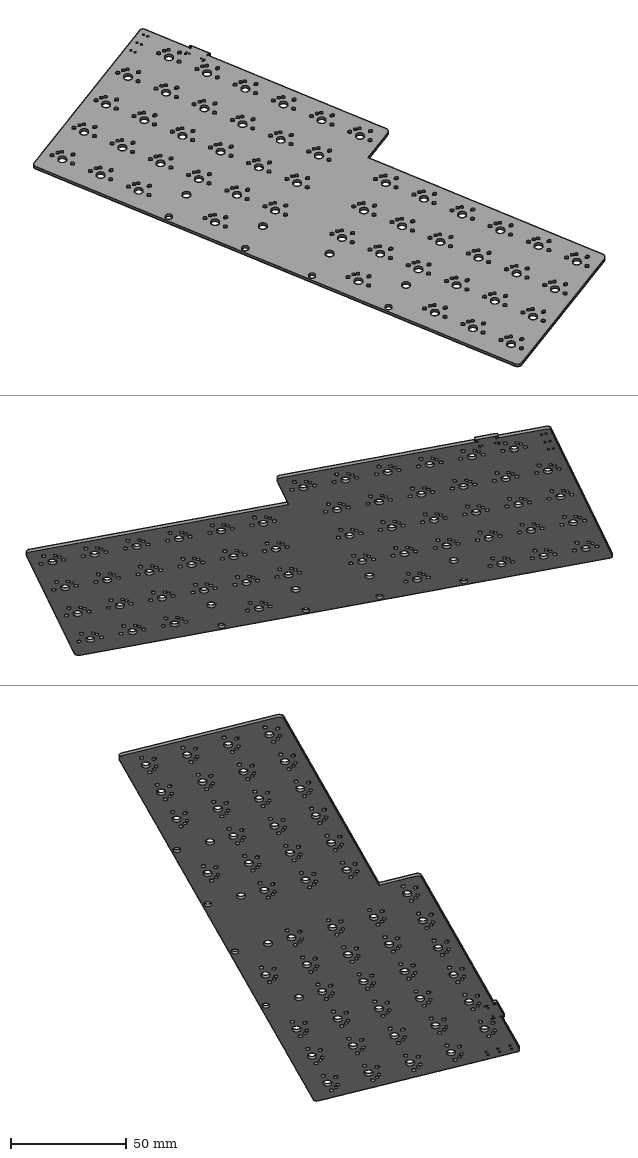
import cadquery as cq

board_width = 243.0
columns_wide = 12.75
rows_tall = 5
pitch = board_width / columns_wide
board_height = rows_tall * pitch
thickness = 1.6

raised_width = 6.5 * pitch
shoulder_height = 4 * pitch
left_corner_radius = 1.5
raised_corner_radius = 2.0
right_corner_radius = 2.2

tab_x = 1.5 * pitch
tab_reach = 1.5
tab_width = 10.5
tab_corner_radius = 0.7

grid = pitch / 15
stem_diameter = 4.0
peg_diameter = 1.75
pin_diameter = 1.48
peg_offset = 4 * grid
pin_places = [
    (-3 * grid, 2 * grid),
    (2 * grid, 4 * grid),
    (-2.5, 4.0),
    (2.5, 4.5),
]

stabilizer_reach = pitch
stabilizer_top_diameter = stem_diameter
stabilizer_top_offset = 8.3
stabilizer_bottom_diameter = 3.2
stabilizer_bottom_offset = 7.0

shell_slot_offset = 4.4
shell_slot_width = 0.6
front_slot_length = 1.2
front_slot_depth = -0.2
rear_slot_length = 1.7
rear_slot_depth = 3.6
locating_hole_offset = 3.0
locating_hole_depth = 3.2
locating_hole_diameter = 0.65

wire_hole_diameter = 0.9
wire_hole_inset = 2.7
wire_hole_spacing = 2.2
wire_hole_depths = [3.2, 8.7, 14.0]


def key_centers():
    """Centers of all key switches, and of the two wide keys among them."""
    left_columns = [i + 0.5 for i in range(6)]
    right_columns = [columns_wide - 0.5 - i for i in range(6)]
    wide_keys = [4.5, columns_wide - 4.5]
    bottom_row = left_columns[:3] + right_columns[:3] + wide_keys
    top_row = [i + 1 for i in range(6)]
    layout = [bottom_row] + 3 * [left_columns + right_columns] + [top_row]
    keys = [
        (column * pitch, (row + 0.5) * pitch)
        for row, columns in enumerate(layout)
        for column in columns
    ]
    wide = [(column * pitch, 0.5 * pitch) for column in wide_keys]
    return keys, wide


def shifted(centers, offsets):
    """Every offset placed at every center."""
    return [(x + dx, y + dy) for x, y in centers for dx, dy in offsets]


def drill(points, diameter):
    """Through holes at the given points."""
    return cq.Workplane("XY").pushPoints(points).circle(diameter / 2).extrude(thickness)


def slots(points, length, width):
    """Through slots along Y at the given points."""
    return cq.Workplane("XY").pushPoints(points).slot2D(length, width, 90).extrude(thickness)


def block(width, height):
    """Plate with one corner at the origin."""
    return cq.Workplane("XY").box(width, height, thickness, centered=False)


def make_board():
    """Stepped plate with rounded outer corners and the connector tab."""
    lower = block(board_width, shoulder_height)
    lower = lower.edges("|Z and >X").fillet(right_corner_radius)
    lower = lower.edges("|Z and <X and <Y").fillet(left_corner_radius)
    raised = block(raised_width, board_height)
    raised = raised.edges("|Z and <X").fillet(left_corner_radius)
    raised = raised.edges("|Z and >X and >Y").fillet(raised_corner_radius)
    tab = (
        cq.Workplane("XY")
        .center(tab_x, board_height)
        .rect(tab_width, 2 * tab_reach)
        .extrude(thickness)
        .edges("|Z and >Y")
        .fillet(tab_corner_radius)
    )
    return lower.union(raised).union(tab)


def cut_switches(board, keys):
    """Stem, peg and contact holes of every key."""
    board = board.cut(drill(keys, stem_diameter))
    board = board.cut(drill(shifted(keys, [(-peg_offset, 0), (peg_offset, 0)]), peg_diameter))
    for place in pin_places:
        board = board.cut(drill(shifted(keys, [place]), pin_diameter))
    return board


def cut_stabilizers(board, wide_keys):
    """One large and one smaller hole on both sides of each wide key."""
    sides = [-stabilizer_reach, stabilizer_reach]
    top = shifted(wide_keys, [(side, stabilizer_top_offset) for side in sides])
    bottom = shifted(wide_keys, [(side, -stabilizer_bottom_offset) for side in sides])
    board = board.cut(drill(top, stabilizer_top_diameter))
    return board.cut(drill(bottom, stabilizer_bottom_diameter))


def connector_pair(offset, depth):
    """Two points left and right of the tab center, below the top edge."""
    return [(tab_x + side * offset, board_height - depth) for side in (-1, 1)]


def cut_connector(board):
    """Slots for the connector shell and its two small locating holes."""
    front = connector_pair(shell_slot_offset, front_slot_depth)
    rear = connector_pair(shell_slot_offset, rear_slot_depth)
    locating = connector_pair(locating_hole_offset, locating_hole_depth)
    board = board.cut(slots(front, front_slot_length, shell_slot_width))
    board = board.cut(slots(rear, rear_slot_length, shell_slot_width))
    return board.cut(drill(locating, locating_hole_diameter))


def cut_wire_holes(board):
    """Three pairs of small holes, one below the other."""
    columns = [wire_hole_inset, wire_hole_inset + wire_hole_spacing]
    points = [(x, board_height - depth) for depth in wire_hole_depths for x in columns]
    return board.cut(drill(points, wire_hole_diameter))


keys, wide_keys = key_centers()
result = make_board()
result = cut_switches(result, keys)
result = cut_stabilizers(result, wide_keys)
result = cut_connector(result)
result = cut_wire_holes(result)